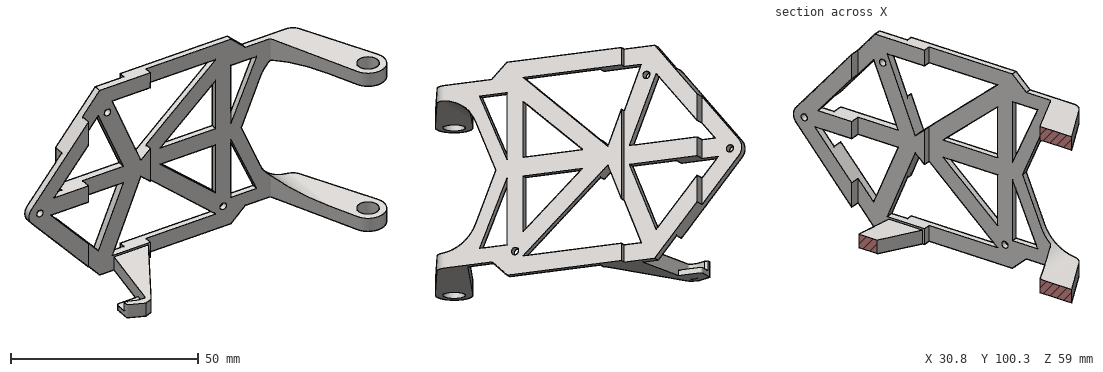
import cadquery as cq
import math

length = 100.3
height = 59.0
mid_z = height / 2

arm_thickness = 4.2
arm_inset = 4.2
arm_outer_z = height - arm_inset
arm_inner_z = arm_outer_z - arm_thickness
eye_radius = 5.0
eye_bore = 6.0
eye_x = 25.8
eye_y = length - eye_radius
arm_outer_root_y = 87.9
arm_inner_root_y = 79.6
arm_bend_radius = 3.5
arm_root_radius = 0.5

rear_thickness = 1.8
middle_face_x = 4.0
tip_back_x = 4.9
tip_face_x = 7.0
rear_step_y = 40.3
rear_end_y = 33.3
tip_step_y = 18.9
middle_end_y = 11.7

shoulder_y = 67.2
shoulder_base_y = 71.7
taper_y = 24.3
notch_y = 70.5
notch_corner_y = 79.4
notch_radius = 11.4
tip_radius = 3.5
tip_z = 28.7
rail_width = 4.8
spine_half_width = 2.6
cross_strut_width = 4.8
cross_strut_y = shoulder_y - cross_strut_width
spine_upper_z = mid_z + spine_half_width

rail_window_y = 28.3
rail_window_tip_y = 37.3
inner_window_y = 44.8
inner_window_z = 47.4
arm_window_y = 75.3
tip_window_y = 31.8
tip_window_peak = (23.9, 51.0)
upper_tip_window_y = 7.9
lower_tip_window_y = 6.9

screw_diameter = 2.0
screw_points = [(tip_radius, tip_z), (26.8, 51.0), (64.8, 6.4)]

hook_thickness = 4.2
hook_root_x = 3.0
hook_rear_root_y = 40.3
hook_front_root_y = 29.0
hook_end_y = 19.3
nose_outer = (26.7, 26.2)
nose_inner = (25.3, 25.3)
nose_bulge = (27.5, 24.0)
nose_waist = (25.1, 22.9)
nose_inner_end = (24.1, 20.3)
hook_nose_radius = 2.0
hook_inner_radius = 0.8
hook_tip = (25.5, hook_end_y)
hook_tip_radius = 0.5
lip_thickness = 1.5
lip_x = 20.3
lip_back_y = 26.6
lip_corner_radius = 0.8


def tangent_point(point, center, radius, side):
    """Point where a line from point touches a circle; side +1 turns counterclockwise, -1 clockwise."""
    du = point[0] - center[0]
    dv = point[1] - center[1]
    angle = math.atan2(dv, du) + side * math.acos(radius / math.hypot(du, dv))
    return (center[0] + radius * math.cos(angle), center[1] + radius * math.sin(angle))


def mirrored(points):
    """Reflect (Y, Z) points about the middle height."""
    return [(y, height - z) for y, z in points]


def extrude_across(points):
    """Extrude a closed (Y, Z) polygon across the whole width of the part."""
    return cq.Workplane("YZ").polyline(points).close().extrude(eye_x + eye_radius)


def make_side_profile():
    """Stepped frame and bent arms as one XY profile, extruded through the full height."""
    eye = (eye_x, eye_y)
    outer_root = (0, arm_outer_root_y)
    inner_root = (rear_thickness, arm_inner_root_y)
    body = (
        cq.Workplane("XY")
        .moveTo(*outer_root)
        .lineTo(0, rear_end_y)
        .lineTo(rear_thickness, rear_end_y)
        .lineTo(rear_thickness, middle_end_y)
        .lineTo(tip_back_x, middle_end_y)
        .lineTo(tip_back_x, 0)
        .lineTo(tip_face_x, 0)
        .lineTo(tip_face_x, tip_step_y)
        .lineTo(middle_face_x, tip_step_y)
        .lineTo(middle_face_x, rear_step_y)
        .lineTo(rear_thickness, rear_step_y)
        .lineTo(*inner_root)
        .lineTo(*tangent_point(inner_root, eye, eye_radius, 1))
        .threePointArc((eye_x + eye_radius, eye_y), tangent_point(outer_root, eye, eye_radius, -1))
        .close()
        .extrude(height)
    )
    body = body.edges(cq.NearestToPointSelector((*outer_root, mid_z))).fillet(arm_bend_radius)
    body = body.edges(cq.NearestToPointSelector((*inner_root, mid_z))).fillet(arm_root_radius)
    bore = cq.Workplane("XY").center(*eye).circle(eye_bore / 2).extrude(height)
    return body.cut(bore)


def make_face_outline():
    """Outline of the frame in YZ, with the open notch between the arms."""
    upper_taper = (taper_y, height)
    lower_taper = (taper_y, 0)
    tip_center = (tip_radius, tip_z)
    upper_arm = [
        (shoulder_y, height),
        (shoulder_base_y, arm_outer_z),
        (length, arm_outer_z),
        (length, arm_inner_z),
        (notch_corner_y, arm_inner_z),
    ]
    lower_arm = mirrored(upper_arm)[::-1]
    outline = (
        cq.Workplane("YZ")
        .moveTo(*tangent_point(lower_taper, tip_center, tip_radius, -1))
        .threePointArc((0, tip_z), tangent_point(upper_taper, tip_center, tip_radius, 1))
    )
    for point in [upper_taper, *upper_arm, (notch_y, mid_z), *lower_arm, lower_taper]:
        outline = outline.lineTo(*point)
    body = outline.close().extrude(eye_x + eye_radius)
    for z in (arm_inner_z, height - arm_inner_z):
        corner = cq.NearestToPointSelector((eye_x / 2, notch_corner_y, z))
        body = body.edges(corner).fillet(notch_radius)
    return body


def make_windows():
    """Triangular openings between the struts."""
    rail_z = height - rail_width
    paired_windows = [
        [(cross_strut_y, rail_z), (rail_window_y, rail_z), (rail_window_tip_y, spine_upper_z)],
        [(cross_strut_y, inner_window_z), (cross_strut_y, spine_upper_z), (inner_window_y, spine_upper_z)],
        [(shoulder_y, arm_inner_z), (shoulder_y, spine_upper_z), (arm_window_y, arm_inner_z)],
    ]
    tip_window_side = [tip_window_peak, (tip_window_y, spine_upper_z)]
    upper_tip_window = [*tip_window_side, (upper_tip_window_y, spine_upper_z)]
    lower_tip_window = mirrored([*tip_window_side, (lower_tip_window_y, spine_upper_z)])
    openings = extrude_across(upper_tip_window).add(extrude_across(lower_tip_window))
    for window in paired_windows:
        openings = openings.add(extrude_across(window)).add(extrude_across(mirrored(window)))
    return openings.combine()


def make_hook():
    """Tapered hook with a nose turned toward the frame tip and a thin lip in its inside corner."""
    hook = (
        cq.Workplane("XY")
        .moveTo(hook_root_x, hook_rear_root_y)
        .lineTo(*nose_outer)
        .lineTo(*nose_bulge)
        .lineTo(*hook_tip)
        .lineTo(nose_inner_end[0], hook_end_y)
        .lineTo(*nose_inner_end)
        .lineTo(*nose_waist)
        .lineTo(*nose_inner)
        .lineTo(hook_root_x, hook_front_root_y)
        .close()
        .extrude(hook_thickness)
    )
    middle_z = hook_thickness / 2
    hook = hook.edges(cq.NearestToPointSelector((*nose_outer, middle_z))).fillet(hook_nose_radius)
    hook = hook.edges(cq.NearestToPointSelector((*nose_inner, middle_z))).fillet(hook_inner_radius)
    lip = (
        cq.Workplane("XY")
        .moveTo(lip_x, hook_end_y)
        .lineTo(nose_inner_end[0], hook_end_y)
        .lineTo(*nose_inner_end)
        .lineTo(*nose_waist)
        .lineTo(nose_inner[0], lip_back_y)
        .lineTo(lip_x, lip_back_y)
        .close()
        .extrude(lip_thickness)
    )
    lip_corner = cq.NearestToPointSelector((lip_x, hook_end_y, lip_thickness / 2))
    hook = hook.union(lip.edges(lip_corner).fillet(lip_corner_radius))
    return hook.edges(cq.NearestToPointSelector((*hook_tip, middle_z))).fillet(hook_tip_radius)


screw_holes = (
    cq.Workplane("YZ").pushPoints(screw_points).circle(screw_diameter / 2).extrude(eye_x + eye_radius)
)
frame = make_side_profile().intersect(make_face_outline())
frame = frame.cut(make_windows()).cut(screw_holes)
result = frame.union(make_hook())